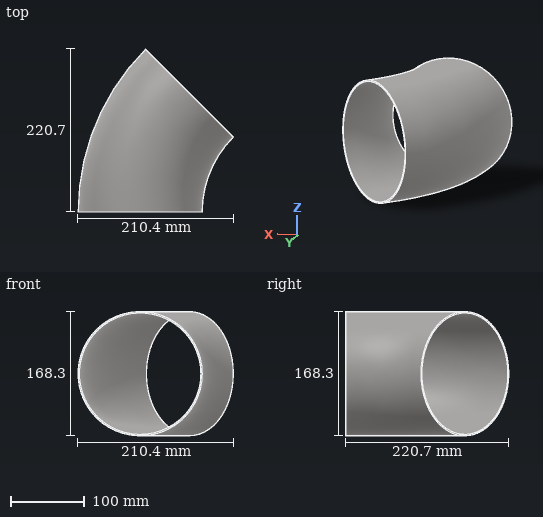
import cadquery as cq

outer_diameter = 168.3
wall_thickness = 2.0
bend_radius = 228.0
bend_angle = 45.0

outer_radius = outer_diameter / 2
inner_radius = outer_radius - wall_thickness


def make_elbow():
    """Revolve the tube's ring section about a vertical axis through the bend centre."""
    ring = cq.Workplane("XZ").circle(outer_radius).circle(inner_radius)
    axis_top = (bend_radius, outer_radius)
    axis_bottom = (bend_radius, -outer_radius)
    return ring.revolve(bend_angle, axis_top, axis_bottom)


result = make_elbow()